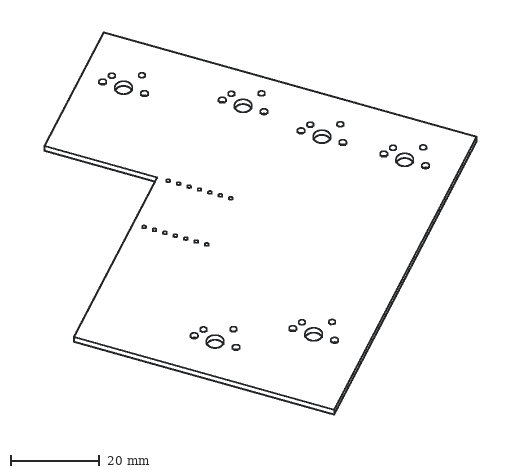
import cadquery as cq

side = 90.0
thickness = 1.6
notch_width = 27.2
notch_length = 52.6

stem_diameter = 4.0
post_diameter = 1.7
contact_diameter = 1.5
grid = 2.5
post_offsets = [(-2 * grid, 0), (2 * grid, 0)]
contact_offsets = [(-1.5 * grid, grid), (grid, 2 * grid)]

column_pitch = 20.0
outer_x = 32.4
middle_x = outer_x - column_pitch
inner_x = middle_x - column_pitch
far_left_x = -34.75
switch_centres = [
    (far_left_x, 30.7),
    (inner_x, 35.1),
    (middle_x, 32.6),
    (outer_x, 32.6),
    (outer_x, -24.9),
    (middle_x, -34.9),
]

pin_diameter = 0.89
pins_per_row = 7
row_spacing = 15.2
header_y = -0.1


def make_board():
    """Square plate with its front left corner cut away."""
    board = cq.Workplane("XY").rect(side, side).extrude(thickness)
    notch = (
        cq.Workplane("XY")
        .rect(notch_width, notch_length)
        .extrude(thickness)
        .translate(((notch_width - side) / 2, (notch_length - side) / 2, 0))
    )
    return board.cut(notch)


def drill(board, diameter, centres):
    """Through holes of one diameter at the given centres."""
    holes = cq.Workplane("XY").pushPoints(centres).circle(diameter / 2).extrude(thickness)
    return board.cut(holes)


def around_switches(offsets):
    """The given offsets repeated around every switch centre."""
    return [(x + dx, y + dy) for x, y in switch_centres for dx, dy in offsets]


def header_pins():
    """Centres of the pins in both header rows."""
    first_x = inner_x - grid * (pins_per_row - 1) / 2
    row_heights = [header_y - row_spacing / 2, header_y + row_spacing / 2]
    return [(first_x + i * grid, y) for y in row_heights for i in range(pins_per_row)]


result = make_board()
result = drill(result, stem_diameter, switch_centres)
result = drill(result, post_diameter, around_switches(post_offsets))
result = drill(result, contact_diameter, around_switches(contact_offsets))
result = drill(result, pin_diameter, header_pins())